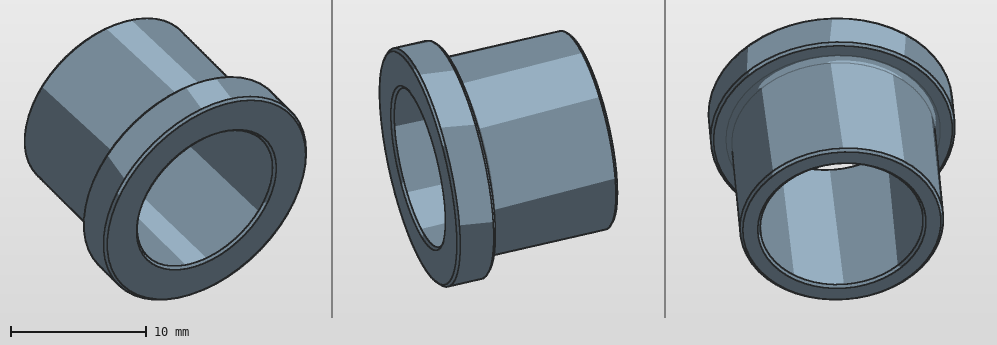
import cadquery as cq

total_length = 13.0
flange_thickness = 3.0
bore_diameter = 12.0
sleeve_diameter = 15.0
flange_diameter = 18.0
edge_chamfer = 0.2
root_fillet = 0.4

sleeve_length = total_length - flange_thickness


def cylinder_along_x(start_x, length, diameter):
    """Solid cylinder centred on the X axis, starting at start_x."""
    return cq.Workplane("YZ", origin=(start_x, 0, 0)).circle(diameter / 2).extrude(length)


def make_sleeve():
    """Sleeve that runs the full length, with its free end chamfered."""
    sleeve = cylinder_along_x(0, total_length, sleeve_diameter)
    return sleeve.faces("<X").edges().chamfer(edge_chamfer)


def make_flange():
    """Flange disc with both rims chamfered."""
    flange = cylinder_along_x(sleeve_length, flange_thickness, flange_diameter)
    return flange.edges("%CIRCLE").chamfer(edge_chamfer)


def fillet_root(body):
    """Round the inside corner where the sleeve meets the flange."""
    flange_face = body.faces("|X").faces(cq.selectors.CenterNthSelector(cq.Vector(1, 0, 0), 1))
    root_edge = flange_face.edges(cq.selectors.RadiusNthSelector(0))
    return root_edge.fillet(root_fillet)


def cut_bore(body):
    """Through bore with a chamfered mouth at each end."""
    bored = body.cut(cylinder_along_x(0, total_length, bore_diameter))
    mouths = bored.faces("<X or >X").edges(cq.selectors.RadiusNthSelector(0))
    return mouths.chamfer(edge_chamfer)


result = cut_bore(fillet_root(make_sleeve().union(make_flange())))